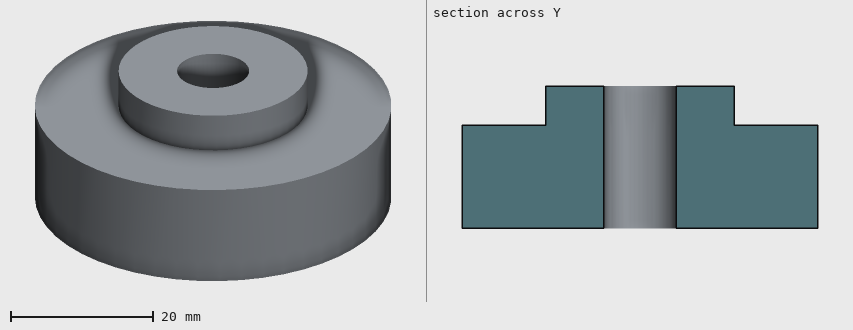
import cadquery as cq

disc_diameter = 50.0
total_height = 20.0
disc_height = 14.5
boss_diameter = 26.5
bore_diameter = 10.1

boss_height = total_height - disc_height

disc = cq.Workplane("XY").circle(disc_diameter / 2).extrude(disc_height)

stepped_disc = disc.faces(">Z").workplane().circle(boss_diameter / 2).extrude(boss_height)

result = stepped_disc.faces(">Z").workplane().hole(bore_diameter)